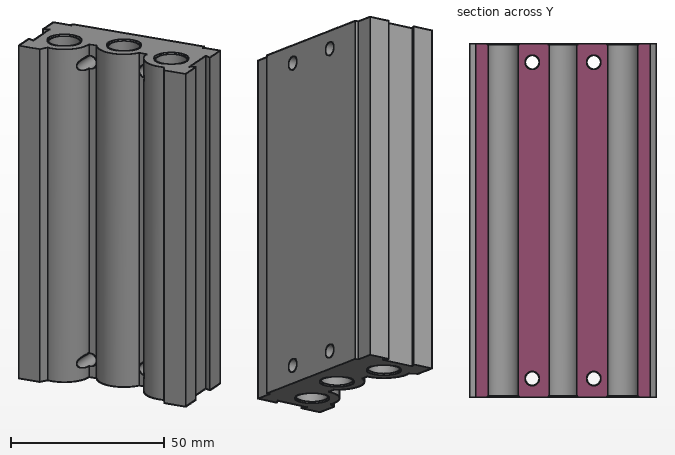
import cadquery as cq
import math

WIDTH = 61.0
DEPTH = 26.5
LENGTH = 115.5
HALF_WIDTH = WIDTH / 2

PAD_HALF_WIDTH = 24.0
PAD_HEIGHT = 1.2

GROOVE_DEPTH = 2.0
GROOVE_MOUTH_LOW = 7.5
GROOVE_MOUTH_HIGH = 17.7
GROOVE_FLOOR_LOW = 6.7
GROOVE_FLOOR_HIGH = 18.6

BORE_SPACING = 19.5
SIDE_BORE_Y = 11.4
CENTER_BORE_Y = 15.9
BORE_PLACES = [
    (-BORE_SPACING, SIDE_BORE_Y),
    (0, CENTER_BORE_Y),
    (BORE_SPACING, SIDE_BORE_Y),
]
BORE_DIAMETER = 10.4
BORE_CHAMFER = 0.5
WALL_RADIUS = 9.0

VALLEY_Y = SIDE_BORE_Y

FOOT_INNER_X = 22.8
FOOT_TOP_X = 21.3

MOUNT_DIAMETER = 4.5
MOUNT_X = 10.0
MOUNT_END_DISTANCE = 6.1


def make_block():
    """Grooved block with feet, open at the front down to the valleys."""
    back_y = DEPTH - PAD_HEIGHT
    groove_x = HALF_WIDTH - GROOVE_DEPTH
    foot_offset = FOOT_TOP_X - BORE_SPACING
    foot_top_y = SIDE_BORE_Y - math.sqrt(WALL_RADIUS**2 - foot_offset**2)

    right_side = [
        (PAD_HALF_WIDTH, DEPTH),
        (PAD_HALF_WIDTH, back_y),
        (HALF_WIDTH, back_y),
        (HALF_WIDTH, GROOVE_MOUTH_HIGH),
        (groove_x, GROOVE_FLOOR_HIGH),
        (groove_x, GROOVE_FLOOR_LOW),
        (HALF_WIDTH, GROOVE_MOUTH_LOW),
        (HALF_WIDTH, 0),
        (FOOT_INNER_X, 0),
        (FOOT_TOP_X, foot_top_y),
        (BORE_SPACING, VALLEY_Y),
    ]
    left_side = [(-x, y) for x, y in reversed(right_side)]
    return cq.Workplane("XY").polyline(right_side + left_side).close().extrude(LENGTH)


def make_walls():
    """Round walls around the three bores."""
    return cq.Workplane("XY").pushPoints(BORE_PLACES).circle(WALL_RADIUS).extrude(LENGTH)


def make_bore(x, y):
    """Through bore with a chamfered mouth at both ends."""
    bore_radius = BORE_DIAMETER / 2
    mouth_radius = bore_radius + BORE_CHAMFER
    half_profile = [
        (0, 0),
        (mouth_radius, 0),
        (bore_radius, BORE_CHAMFER),
        (bore_radius, LENGTH - BORE_CHAMFER),
        (mouth_radius, LENGTH),
        (0, LENGTH),
    ]
    profile = cq.Workplane("XZ", origin=(x, y, 0)).polyline(half_profile).close()
    return profile.revolve(360, (0, 0, 0), (0, 1, 0))


def make_mounting_holes():
    """Four holes running from the front to the back face."""
    places = [
        (x, z)
        for x in (-MOUNT_X, MOUNT_X)
        for z in (MOUNT_END_DISTANCE, LENGTH - MOUNT_END_DISTANCE)
    ]
    return cq.Workplane("XZ").pushPoints(places).circle(MOUNT_DIAMETER / 2).extrude(-DEPTH)


result = make_block().union(make_walls())
for bore_x, bore_y in BORE_PLACES:
    result = result.cut(make_bore(bore_x, bore_y))
result = result.cut(make_mounting_holes()).solids()